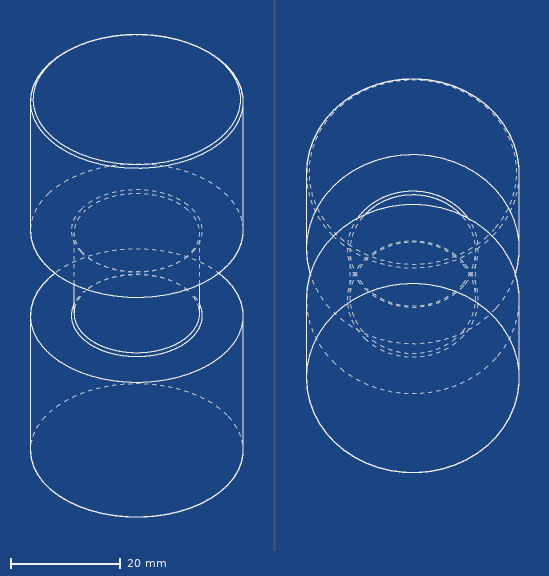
import cadquery as cq

total_height = 82.6
head_diameter = 39.0

neck_diameter = 22.95
lower_head_height = 31.7
neck_length = 20.0
neck_bevel = 0.5

top_chamfer = 0.5

head_radius = head_diameter / 2
neck_radius = neck_diameter / 2
neck_top = lower_head_height + neck_length

bevel_outer_radius = neck_radius + neck_bevel
lower_bevel_end = lower_head_height + neck_bevel
upper_bevel_start = neck_top - neck_bevel

profile = (
    cq.Workplane("XZ")
    .moveTo(0, 0)
    .lineTo(head_radius, 0)
    .lineTo(head_radius, lower_head_height)
    .lineTo(bevel_outer_radius, lower_head_height)
    .lineTo(neck_radius, lower_bevel_end)
    .lineTo(neck_radius, upper_bevel_start)
    .lineTo(bevel_outer_radius, neck_top)
    .lineTo(head_radius, neck_top)
    .lineTo(head_radius, total_height - top_chamfer)
    .lineTo(head_radius - top_chamfer, total_height)
    .lineTo(0, total_height)
    .close()
)

result = profile.revolve(360, (0, 0, 0), (0, 1, 0))